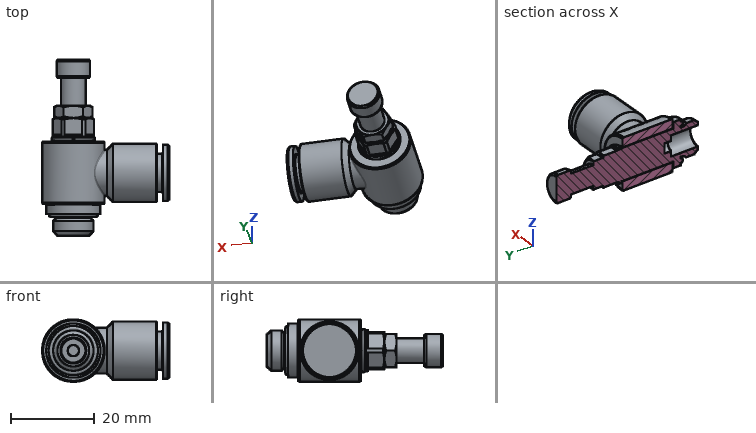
import cadquery as cq
import math


BARREL_RADIUS = 7.5
BARREL_HALF_LENGTH = 7.5
BARREL_EDGE_RADIAL = 0.25
BARREL_EDGE_AXIAL = 0.4
CORE_SEAT_RADIUS = 4.6

PORT_NECK_RADIUS = 5.5
PORT_NECK_END = 8.0
PORT_RADIUS = 7.0
PORT_CONE_END = PORT_NECK_END + PORT_RADIUS - PORT_NECK_RADIUS
PORT_END = 20.0
PORT_EDGE = 0.25
NECK_BLEND_RADIUS = 0.2

COLLAR_NECK_RADIUS = 4.6
COLLAR_FLANGE_START = 21.4
COLLAR_END = 23.0
COLLAR_FLANGE_RADIUS = 6.75
COLLAR_EDGE_AXIAL = 0.5
COLLAR_EDGE_RADIAL = 0.4
COLLAR_ROOT_BEVEL = 0.2

SHOULDER_RADIUS = 6.5
SHOULDER_CLEARANCE = 0.1
SHOULDER_START = -BARREL_HALF_LENGTH - SHOULDER_CLEARANCE
SHOULDER_END = -9.9
SEAL_WIRE_RADIUS = 0.7
SEAL_RING_RADIUS = 5.2
THREAD_RADIUS = 4.85
THREAD_RELIEF_RADIUS = 4.2
THREAD_RELIEF_END = -10.85
THREAD_START = THREAD_RELIEF_END - (THREAD_RADIUS - THREAD_RELIEF_RADIUS)
THREAD_END = -15.07
THREAD_TIP_RADIUS = 3.8
THREAD_TIP_LENGTH = 1.15

BORE_RADIUS = 2.9
BORE_DEPTH = 8.0
BORE_MOUTH_BEVEL = 0.2
ORIFICE_RADIUS = 1.35
ORIFICE_DEPTH = 2.0

RING_WIRE_RADIUS = 0.45
RING_OUTER_RADIUS = 5.2
RING_CENTRE = 8.1
RING_GAP = 0.5
HEX_COLLAR_START = 8.7
HEX_COLLAR_RADIUS = 4.95
HEX_START = 9.2
HEX_END = 13.15
HEX_FLATS = 9.0
HEX_CROWN_RADIUS = 4.4

NUT_END = 16.1
NUT_FLATS = 8.0
NUT_CROWN_RADIUS = 3.95
STEM_RADIUS = 3.0
KNOB_START = 22.67
KNOB_END = 27.17
KNOB_RADIUS = 4.0
KNOB_EDGE_AXIAL = 0.5
KNOB_EDGE_RADIAL = 0.35

CROWN_SLOPE = math.tan(math.radians(30))


def turned_about_y(radius_and_y):
    """Solid of revolution about Y from an outline of (radius, y) points."""
    return cq.Workplane("XY").polyline(radius_and_y).close().revolve(360, (0, 0), (0, 1))


def turned_about_x(x_and_radius):
    """Solid of revolution about X from an outline of (x, radius) points."""
    return cq.Workplane("XY").polyline(x_and_radius).close().revolve(360, (0, 0), (1, 0))


def wire_ring(ring_radius, wire_radius, y):
    """Torus around Y with its circular section centred at height y."""
    section = cq.Workplane("XY").center(ring_radius, y).circle(wire_radius)
    return section.revolve(360, (-ring_radius, 0), (-ring_radius, 1))


def hexagon_along_y(flats, start, end):
    """Hexagonal prism along Y with a pair of flats facing +Z and -Z."""
    corners = flats / math.cos(math.radians(30))
    base = cq.Workplane("XZ", origin=(0, start, 0)).polygon(6, corners)
    return base.extrude(start - end)


def make_housing():
    barrel_face_radius = BARREL_RADIUS - BARREL_EDGE_RADIAL
    barrel_side_half = BARREL_HALF_LENGTH - BARREL_EDGE_AXIAL
    barrel = turned_about_y([
        (0, -BARREL_HALF_LENGTH),
        (barrel_face_radius, -BARREL_HALF_LENGTH),
        (BARREL_RADIUS, -barrel_side_half),
        (BARREL_RADIUS, barrel_side_half),
        (barrel_face_radius, BARREL_HALF_LENGTH),
        (0, BARREL_HALF_LENGTH),
    ])
    port_and_collar = turned_about_x([
        (0, 0),
        (0, PORT_NECK_RADIUS),
        (PORT_NECK_END, PORT_NECK_RADIUS),
        (PORT_CONE_END, PORT_RADIUS),
        (PORT_END - PORT_EDGE, PORT_RADIUS),
        (PORT_END, PORT_RADIUS - PORT_EDGE),
        (PORT_END, COLLAR_NECK_RADIUS),
        (COLLAR_FLANGE_START - COLLAR_ROOT_BEVEL, COLLAR_NECK_RADIUS),
        (COLLAR_FLANGE_START, COLLAR_NECK_RADIUS + COLLAR_ROOT_BEVEL),
        (COLLAR_FLANGE_START, COLLAR_FLANGE_RADIUS),
        (COLLAR_END - COLLAR_EDGE_AXIAL, COLLAR_FLANGE_RADIUS),
        (COLLAR_END, COLLAR_FLANGE_RADIUS - COLLAR_EDGE_RADIAL),
        (COLLAR_END, 0),
    ])
    elbow = barrel.union(port_and_collar)

    blend_zone = cq.selectors.BoxSelector(
        (0, -BARREL_HALF_LENGTH, -BARREL_RADIUS),
        (PORT_NECK_END - PORT_EDGE, BARREL_HALF_LENGTH, BARREL_RADIUS),
    )
    seam = elbow.edges(blend_zone).edges("not %CIRCLE").edges("not %LINE")
    elbow = seam.fillet(NECK_BLEND_RADIUS)

    core_seat = turned_about_y([
        (0, -BARREL_HALF_LENGTH),
        (CORE_SEAT_RADIUS, -BARREL_HALF_LENGTH),
        (CORE_SEAT_RADIUS, BARREL_HALF_LENGTH),
        (0, BARREL_HALF_LENGTH),
    ])
    return elbow.cut(core_seat)


def make_threaded_end():
    """Spindle inside the housing, sealing shoulder, thread and flow bore."""
    body = turned_about_y([
        (0, HEX_COLLAR_START),
        (CORE_SEAT_RADIUS, HEX_COLLAR_START),
        (CORE_SEAT_RADIUS, SHOULDER_START),
        (SHOULDER_RADIUS, SHOULDER_START),
        (SHOULDER_RADIUS, SHOULDER_END),
        (THREAD_RELIEF_RADIUS, SHOULDER_END),
        (THREAD_RELIEF_RADIUS, THREAD_RELIEF_END),
        (THREAD_RADIUS, THREAD_START),
        (THREAD_RADIUS, THREAD_END + THREAD_TIP_LENGTH),
        (THREAD_TIP_RADIUS, THREAD_END),
        (0, THREAD_END),
    ])
    seal = wire_ring(SEAL_RING_RADIUS, SEAL_WIRE_RADIUS, SHOULDER_END)
    bore_floor = THREAD_END + BORE_DEPTH
    orifice_floor = bore_floor + ORIFICE_DEPTH
    bore = turned_about_y([
        (0, THREAD_END),
        (BORE_RADIUS + BORE_MOUTH_BEVEL, THREAD_END),
        (BORE_RADIUS, THREAD_END + BORE_MOUTH_BEVEL),
        (BORE_RADIUS, bore_floor),
        (ORIFICE_RADIUS, bore_floor),
        (ORIFICE_RADIUS, orifice_floor),
        (0, orifice_floor),
    ])
    return body.union(seal).cut(bore)


def make_retaining_ring():
    """Round wire ring, open at the +Z side."""
    ring = wire_ring(RING_OUTER_RADIUS - RING_WIRE_RADIUS, RING_WIRE_RADIUS, RING_CENTRE)
    gap = cq.Workplane("XY").box(
        RING_GAP, 2 * RING_WIRE_RADIUS, RING_OUTER_RADIUS, centered=(True, True, False)
    )
    return ring.cut(gap.translate((0, RING_CENTRE, 0)))


def make_wrench_hexagon():
    """Round collar whose upper length is flattened into a crowned hexagon."""
    crown_height = (HEX_COLLAR_RADIUS - HEX_CROWN_RADIUS) * CROWN_SLOPE
    collar = turned_about_y([
        (0, HEX_COLLAR_START),
        (HEX_COLLAR_RADIUS, HEX_COLLAR_START),
        (HEX_COLLAR_RADIUS, HEX_START),
        (0, HEX_START),
    ])
    crowned_blank = turned_about_y([
        (0, HEX_START),
        (HEX_COLLAR_RADIUS, HEX_START),
        (HEX_COLLAR_RADIUS, HEX_END - crown_height),
        (HEX_CROWN_RADIUS, HEX_END),
        (0, HEX_END),
    ])
    hexagon = crowned_blank.intersect(hexagon_along_y(HEX_FLATS, HEX_START, HEX_END))
    return collar.union(hexagon)


def make_lock_nut():
    """Hexagon nut crowned at both ends."""
    half_height = (NUT_END - HEX_END) / 2
    middle = (NUT_END + HEX_END) / 2
    apex_radius = NUT_CROWN_RADIUS + half_height / CROWN_SLOPE
    crown = turned_about_y([
        (0, HEX_END),
        (NUT_CROWN_RADIUS, HEX_END),
        (apex_radius, middle),
        (NUT_CROWN_RADIUS, NUT_END),
        (0, NUT_END),
    ])
    return hexagon_along_y(NUT_FLATS, HEX_END, NUT_END).intersect(crown)


def make_stem_and_knob():
    knob_face_radius = KNOB_RADIUS - KNOB_EDGE_RADIAL
    return turned_about_y([
        (0, NUT_END),
        (STEM_RADIUS, NUT_END),
        (STEM_RADIUS, KNOB_START),
        (knob_face_radius, KNOB_START),
        (KNOB_RADIUS, KNOB_START + KNOB_EDGE_AXIAL),
        (KNOB_RADIUS, KNOB_END - KNOB_EDGE_AXIAL),
        (knob_face_radius, KNOB_END),
        (0, KNOB_END),
    ])


def make_core():
    return (
        make_threaded_end()
        .union(make_retaining_ring())
        .union(make_wrench_hexagon())
        .union(make_lock_nut())
        .union(make_stem_and_knob())
    )


housing = make_housing()
core = make_core()

result = cq.Compound.makeCompound([housing.solids().val(), core.solids().val()])